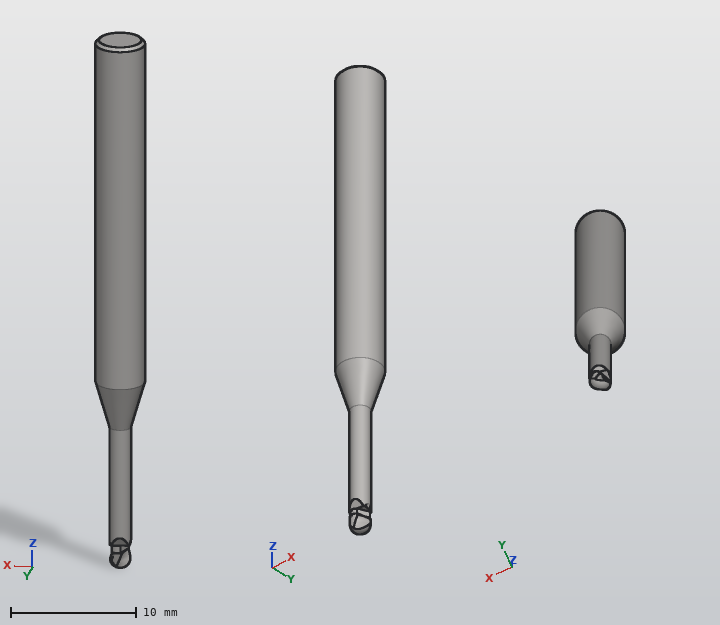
import cadquery as cq
import math

total_length = 45.0
shank_bottom = 15.9
neck_top = 12.0
neck_bottom = 2.05
joint_height = 1.45

shank_radius = 2.0
end_chamfer = 0.3
neck_radius = 0.88

ball_radius = 0.85
heel_radius = 0.62
heel_angle = 66.0
relief_radius = 0.81
tip_angle = -2.0
twist_angle = 55.0

stub_scale = 0.92
stub_angle = 40.0

flute_runout_radius = 0.55
flute_runout_top = 2.8
flute_runout_angle = 10.0
crest_runout_radius = 0.8
crest_runout_top = 2.45
crest_runout_angle = 95.0


def polar(radius, angle):
    """Point at a radius and an angle in degrees."""
    return (
        radius * math.cos(math.radians(angle)),
        radius * math.sin(math.radians(angle)),
    )


def flute_section(bottom, angle, scale=1.0):
    """Two-edged section: each edge has a curved relief, a heel and a flat flute."""
    outline = cq.Workplane("XY", origin=(0, 0, bottom)).moveTo(*polar(ball_radius * scale, angle))
    for edge_angle in (angle, angle + 180):
        relief = polar(relief_radius * scale, edge_angle + heel_angle / 2)
        heel = polar(heel_radius * scale, edge_angle + heel_angle)
        next_edge = polar(ball_radius * scale, edge_angle + 180)
        outline = outline.threePointArc(relief, heel).lineTo(*next_edge)
    return outline.close()


def make_runout(inner_radius, top, angle):
    """Sloping wedge that fades one side of the stub out into the neck."""
    return (
        cq.Workplane("YZ")
        .moveTo(inner_radius, neck_bottom)
        .lineTo(neck_radius, top)
        .lineTo(neck_radius, neck_bottom)
        .close()
        .extrude(neck_radius, both=True)
        .rotate((0, 0, 0), (0, 0, 1), angle)
    )


def make_shank():
    """Turned shank, cone and neck with the fluted stub below."""
    body = (
        cq.Workplane("XZ")
        .moveTo(0, neck_bottom)
        .lineTo(neck_radius, neck_bottom)
        .lineTo(neck_radius, neck_top)
        .lineTo(shank_radius, shank_bottom)
        .lineTo(shank_radius, total_length - end_chamfer)
        .lineTo(shank_radius - end_chamfer, total_length)
        .lineTo(0, total_length)
        .close()
        .revolve(360, (0, 0, 0), (0, 1, 0))
    )
    for half_turn in (0, 180):
        flute_runout = make_runout(flute_runout_radius, flute_runout_top, flute_runout_angle + half_turn)
        crest_runout = make_runout(crest_runout_radius, crest_runout_top, crest_runout_angle + half_turn)
        body = body.cut(flute_runout).cut(crest_runout)
    stub = flute_section(joint_height, stub_angle, stub_scale)
    return body.union(stub.extrude(neck_bottom - joint_height))


def make_head():
    """Helical two-edged blade trimmed to a ball-ended cylinder."""
    blade = flute_section(0, tip_angle).twistExtrude(joint_height, twist_angle)
    arc_middle = ball_radius * math.sqrt(0.5)
    envelope = (
        cq.Workplane("XZ")
        .moveTo(0, 0)
        .threePointArc((arc_middle, ball_radius - arc_middle), (ball_radius, ball_radius))
        .lineTo(ball_radius, joint_height)
        .lineTo(0, joint_height)
        .close()
        .revolve(360, (0, 0, 0), (0, 1, 0))
    )
    return blade.intersect(envelope)


shank = make_shank()
head = make_head()
result = cq.Compound.makeCompound([shank.val(), head.val()])